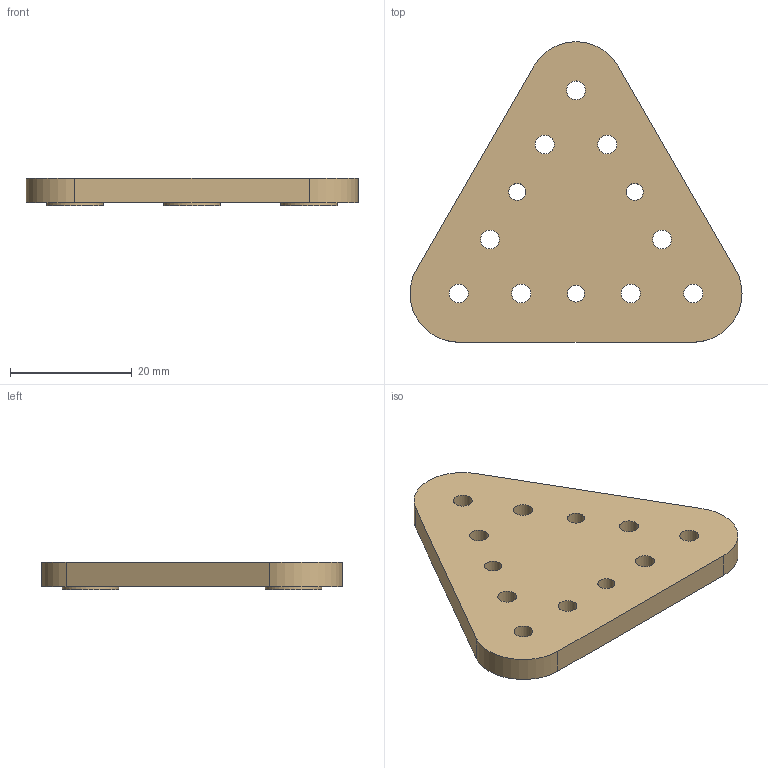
import cadquery as cq
import math

CORNER_SPACING = 38.5
CORNER_RADIUS = 8.0
PLATE_THICKNESS = 4.0

PAD_DIAMETER = 9.3
PAD_HEIGHT = 0.5

OUTER_HOLE_DIAMETER = 3.1
MIDDLE_HOLE_DIAMETER = 2.8
MIDDLE_HOLE_PITCH = 9.0

centroid_distance = CORNER_SPACING / math.sqrt(3)
corner_angles = [math.radians(angle) for angle in (90, 210, 330)]
corners = [
    (centroid_distance * math.cos(angle), centroid_distance * math.sin(angle))
    for angle in corner_angles
]
sides = list(zip(corners, corners[1:] + corners[:1]))


def point_along(side, distance):
    """Point on a side's centre line, at a distance from its first corner."""
    (start_x, start_y), (end_x, end_y) = side
    fraction = distance / CORNER_SPACING
    return (
        start_x + fraction * (end_x - start_x),
        start_y + fraction * (end_y - start_y),
    )


def make_plate():
    """Corner triangle grown outward by the corner radius, with round corners."""
    return (
        cq.Workplane("XY")
        .polyline(corners)
        .close()
        .offset2D(CORNER_RADIUS, "arc")
        .extrude(PLATE_THICKNESS)
    )


def make_pads():
    """Flat discs standing out of the plate's underside at the corners."""
    return (
        cq.Workplane("XY")
        .pushPoints(corners)
        .circle(PAD_DIAMETER / 2)
        .extrude(-PAD_HEIGHT)
    )


def drill(body, points, diameter):
    """Cut holes through the full height of the body."""
    drills = (
        cq.Workplane("XY")
        .workplane(offset=-PAD_HEIGHT)
        .pushPoints(points)
        .circle(diameter / 2)
        .extrude(PAD_HEIGHT + PLATE_THICKNESS)
    )
    return body.cut(drills)


side_middle = CORNER_SPACING / 2
middle_holes = [point_along(side, side_middle) for side in sides]
neighbour_holes = [
    point_along(side, side_middle + offset)
    for side in sides
    for offset in (-MIDDLE_HOLE_PITCH, MIDDLE_HOLE_PITCH)
]

result = make_plate().union(make_pads())
result = drill(result, corners + neighbour_holes, OUTER_HOLE_DIAMETER)
result = drill(result, middle_holes, MIDDLE_HOLE_DIAMETER)